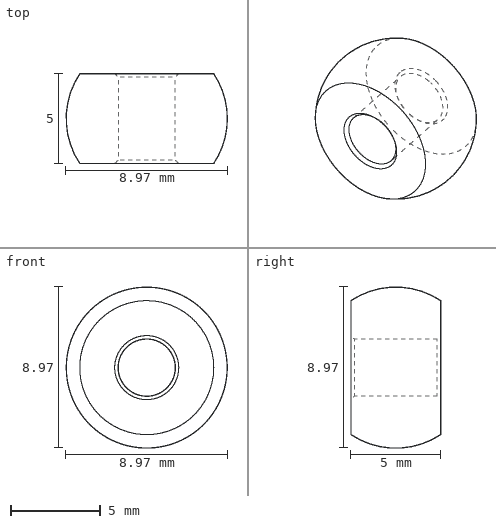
import cadquery as cq
import math

ball_diameter = 8.97
width = 5.0
bore_diameter = 3.17
bore_chamfer = 0.2

ball_radius = ball_diameter / 2
half_width = width / 2
bore_radius = bore_diameter / 2
mouth_radius = bore_radius + bore_chamfer
bore_half_length = half_width - bore_chamfer
face_radius = math.sqrt(ball_radius**2 - half_width**2)

section = (
    cq.Workplane("XY")
    .moveTo(bore_radius, -bore_half_length)
    .lineTo(mouth_radius, -half_width)
    .lineTo(face_radius, -half_width)
    .threePointArc((ball_radius, 0), (face_radius, half_width))
    .lineTo(mouth_radius, half_width)
    .lineTo(bore_radius, bore_half_length)
    .close()
)

result = section.revolve(360, (0, 0, 0), (0, 1, 0))